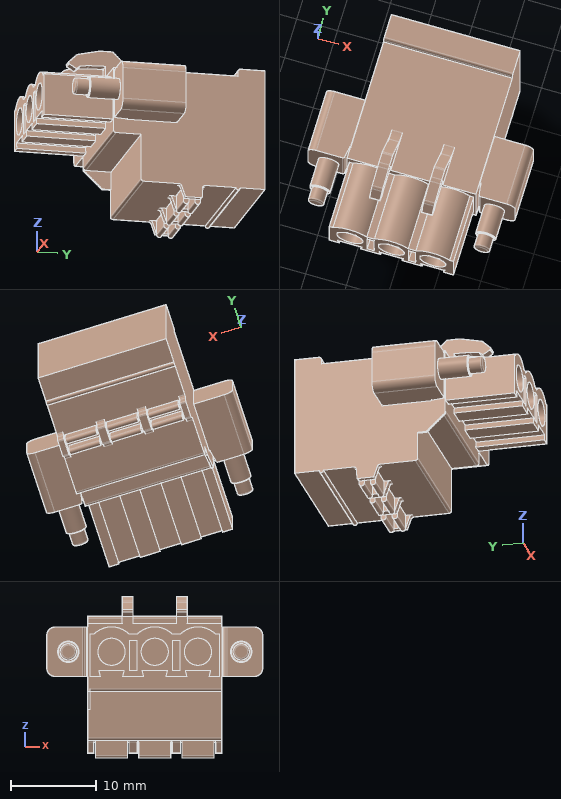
import cadquery as cq
import math

POLES = 3
PITCH = 5.08
TOTAL_DEPTH = 26.6
TOTAL_HEIGHT = 19.02
FLANGE_SPAN = 25.4

BODY_WIDTH = 15.8
BODY_FRONT = 8.33
BODY_BOTTOM = 2.1
BODY_TOP = 15.83
REAR_LIP_TOP = 16.7
REAR_LIP_FRONT = 23.35
LOWER_FRONT = 11.65
OVERHANG_BOTTOM = 7.85
EDGE_RADIUS = 0.3

GUSSET_THICKNESS = 0.27
GUSSET_TOE = 10.61
GUSSET_BOTTOM = 5.7

PLUG_BOTTOM = 9.58
PLUG_TOP = 15.43
BORE_RADIUS = 1.6
BORE_DEPTH = 1.0
BARREL_RADIUS = 2.93
BARREL_HALF_CHORD = 2.07
SLOT_WIDTH = 0.85
SLOT_BOTTOM = 10.3
SLOT_TOP = 13.83
KEYWAY_DEPTH = 0.72
KEYWAY_HALF_ROOT = 1.5
KEYWAY_HALF_MOUTH = 1.3

FLANGE_REAR = 15.95
FLANGE_RADIUS = 1.05
RELIEF_REAR = 9.95
RELIEF_REAR_WIDTH = 0.1
RELIEF_FRONT_WIDTH = 0.37
RELIEF_ROUND = 0.25
PIN_RADIUS = 1.25
PIN_SHOULDER = 4.68
PIN_TIP_RADIUS = 0.95
PIN_TIP = 3.0
PIN_SHOULDER_CHAMFER = 0.08
PIN_TIP_ROUND = 0.19

HOOK_WIDTH = 1.3
HOOK_OFFSET = 3.2
HOOK_SLOPE = math.radians(45)
HOOK_ROOT_Y = 13.17
HOOK_ROOT_RADIUS = 1.92
HOOK_PEAK_RADIUS = 0.27
HOOK_CREST_Y = 7.6
HOOK_CREST_RADIUS = 2.4
HOOK_BROW = (4.87, 18.4)
HOOK_BROW_RADIUS = 0.72
HOOK_UNDERSIDE = 17.18
HOOK_NOSE = [(3.85, 17.45), (3.9, 17.18), (4.81, 16.65), (5.27, 17.02), (6.38, 17.13)]

FOOT_BOTTOM = 0.55
FOOT_REAR = 19.13
FOOT_FRONT = 16.47
FOOT_TIP_REAR = 19.02
FOOT_TIP_FRONT = 17.0
FOOT_ROOT_RADIUS = 0.32
FOOT_TIP_RADIUS = 0.13
END_FOOT_WIDTH = 0.75
INNER_FOOT_WIDTH = 1.0
PRONG_WIDTH = 3.78
PRONG_THICKNESS = 0.65

RIB_RADIUS = 0.27
RIB_Y = 23.35

BODY_HALF = BODY_WIDTH / 2
PLUG_HALF = POLES * PITCH / 2
PLUG_MID = (PLUG_BOTTOM + PLUG_TOP) / 2
PLUG_SHOULDER = PLUG_TOP - BARREL_RADIUS + math.sqrt(BARREL_RADIUS**2 - BARREL_HALF_CHORD**2)
PIN_X = 2 * PITCH
POLE_XS = [(i - (POLES - 1) / 2) * PITCH for i in range(POLES)]
GAP_XS = [(i - (POLES - 2) / 2) * PITCH for i in range(POLES - 1)]


def block(x_min, x_max, y_min, y_max, z_min, z_max):
    """Axis-aligned box given by its limits."""
    size = (x_max - x_min, y_max - y_min, z_max - z_min)
    return cq.Workplane("XY").box(*size, centered=False).translate((x_min, y_min, z_min))


def rod(x, z, radius, y_min, y_max):
    """Cylinder along Y."""
    start = cq.Workplane("XZ", origin=(x, y_max, z))
    return start.circle(radius).extrude(y_max - y_min)


def side_slab(points, x_min, x_max):
    """Prism along X from a polygon of (y, z) points."""
    return cq.Workplane("YZ", origin=(x_min, 0, 0)).polyline(points).close().extrude(x_max - x_min)


def make_body():
    outline = [
        (TOTAL_DEPTH, BODY_BOTTOM),
        (TOTAL_DEPTH, REAR_LIP_TOP),
        (REAR_LIP_FRONT, REAR_LIP_TOP),
        (REAR_LIP_FRONT, BODY_TOP),
        (BODY_FRONT, BODY_TOP),
        (BODY_FRONT, OVERHANG_BOTTOM),
        (LOWER_FRONT, OVERHANG_BOTTOM),
        (LOWER_FRONT, BODY_BOTTOM),
    ]
    body = side_slab(outline, -BODY_HALF, BODY_HALF)
    rounded = [
        (REAR_LIP_FRONT, REAR_LIP_TOP),
        (BODY_FRONT, OVERHANG_BOTTOM),
        (LOWER_FRONT, BODY_BOTTOM),
    ]
    for y, z in rounded:
        body = body.edges(cq.selectors.NearestToPointSelector((0, y, z))).fillet(EDGE_RADIUS)
    gusset = [
        (BODY_FRONT, OVERHANG_BOTTOM + EDGE_RADIUS),
        (BODY_FRONT, OVERHANG_BOTTOM),
        (GUSSET_TOE, GUSSET_BOTTOM),
        (LOWER_FRONT, GUSSET_BOTTOM),
        (LOWER_FRONT, OVERHANG_BOTTOM + EDGE_RADIUS),
    ]
    return body.union(side_slab(gusset, -BODY_HALF, -BODY_HALF + GUSSET_THICKNESS))


def make_plug():
    plug = block(-PLUG_HALF, PLUG_HALF, 0, BODY_FRONT, PLUG_BOTTOM, PLUG_SHOULDER)
    for x in POLE_XS:
        barrel = (
            cq.Workplane("XZ", origin=(x, BODY_FRONT, 0))
            .moveTo(-BARREL_HALF_CHORD, PLUG_SHOULDER)
            .threePointArc((0, PLUG_TOP), (BARREL_HALF_CHORD, PLUG_SHOULDER))
            .close()
            .extrude(BODY_FRONT)
        )
        plug = plug.union(barrel)
    for x in POLE_XS:
        keyway = (
            cq.Workplane("XZ", origin=(x, BODY_FRONT, PLUG_BOTTOM))
            .polyline([
                (-KEYWAY_HALF_MOUTH, 0),
                (-KEYWAY_HALF_ROOT, KEYWAY_DEPTH),
                (KEYWAY_HALF_ROOT, KEYWAY_DEPTH),
                (KEYWAY_HALF_MOUTH, 0),
            ])
            .close()
            .extrude(BODY_FRONT)
        )
        plug = plug.cut(keyway).cut(rod(x, PLUG_MID, BORE_RADIUS, 0, BORE_DEPTH))
    for x in GAP_XS:
        half = SLOT_WIDTH / 2
        plug = plug.cut(block(x - half, x + half, 0, BODY_FRONT, SLOT_BOTTOM, SLOT_TOP))
    return plug


def make_flange():
    """Left-hand screw flange with its stepped pin."""
    flange = block(-FLANGE_SPAN / 2, -BODY_HALF, BODY_FRONT, FLANGE_REAR, PLUG_BOTTOM, PLUG_TOP)
    flange = flange.edges("|Y and <X").fillet(FLANGE_RADIUS)
    relief = (
        cq.Workplane("XY", origin=(-BODY_HALF, 0, PLUG_BOTTOM))
        .polyline([
            (0, BODY_FRONT),
            (0, RELIEF_REAR),
            (-RELIEF_REAR_WIDTH, RELIEF_REAR),
            (-RELIEF_FRONT_WIDTH, BODY_FRONT),
        ])
        .close()
        .extrude(PLUG_TOP - PLUG_BOTTOM)
    )
    flange = flange.cut(relief)
    relief_mouth = (-BODY_HALF - RELIEF_FRONT_WIDTH, BODY_FRONT, PLUG_MID)
    flange = flange.edges(cq.selectors.NearestToPointSelector(relief_mouth)).fillet(RELIEF_ROUND)
    shank = rod(-PIN_X, PLUG_MID, PIN_RADIUS, PIN_SHOULDER, BODY_FRONT)
    shank = shank.faces("<Y").edges().chamfer(PIN_SHOULDER_CHAMFER)
    tip = rod(-PIN_X, PLUG_MID, PIN_TIP_RADIUS, PIN_TIP, PIN_SHOULDER)
    tip = tip.faces("<Y").edges().fillet(PIN_TIP_ROUND)
    return flange.union(shank).union(tip)


def make_hook(x):
    """Latch hook rising from the top face at 45 degrees and reaching over the plug."""
    root_end_y = HOOK_ROOT_Y - HOOK_ROOT_RADIUS * math.sin(HOOK_SLOPE)
    root_end_z = BODY_TOP + HOOK_ROOT_RADIUS * (1 - math.cos(HOOK_SLOPE))
    root_middle = (
        HOOK_ROOT_Y - HOOK_ROOT_RADIUS * math.sin(HOOK_SLOPE / 2),
        BODY_TOP + HOOK_ROOT_RADIUS * (1 - math.cos(HOOK_SLOPE / 2)),
    )
    peak_y = root_end_y - (TOTAL_HEIGHT - root_end_z) / math.tan(HOOK_SLOPE)
    hook = (
        cq.Workplane("YZ", origin=(x - HOOK_WIDTH / 2, 0, 0))
        .moveTo(BODY_FRONT, BODY_TOP)
        .lineTo(HOOK_ROOT_Y, BODY_TOP)
        .threePointArc(root_middle, (root_end_y, root_end_z))
        .lineTo(peak_y, TOTAL_HEIGHT)
        .lineTo(HOOK_CREST_Y, TOTAL_HEIGHT)
        .lineTo(*HOOK_BROW)
    )
    for point in HOOK_NOSE:
        hook = hook.lineTo(*point)
    hook = hook.lineTo(BODY_FRONT, HOOK_UNDERSIDE).close().extrude(HOOK_WIDTH)
    rounds = [
        (peak_y, TOTAL_HEIGHT, HOOK_PEAK_RADIUS),
        (HOOK_CREST_Y, TOTAL_HEIGHT, HOOK_CREST_RADIUS),
        (*HOOK_BROW, HOOK_BROW_RADIUS),
    ]
    for y, z, radius in rounds:
        hook = hook.edges(cq.selectors.NearestToPointSelector((x, y, z))).fillet(radius)
    return hook


def make_foot(x_min, x_max):
    """Tapered foot with flared root and softened tip."""
    points = [
        (LOWER_FRONT + EDGE_RADIUS, BODY_BOTTOM + FOOT_ROOT_RADIUS),
        (LOWER_FRONT + EDGE_RADIUS, BODY_BOTTOM),
        (FOOT_FRONT, BODY_BOTTOM),
        (FOOT_TIP_FRONT, FOOT_BOTTOM),
        (FOOT_TIP_REAR, FOOT_BOTTOM),
        (FOOT_REAR, BODY_BOTTOM),
        (RIB_Y, BODY_BOTTOM),
        (RIB_Y, BODY_BOTTOM + FOOT_ROOT_RADIUS),
    ]
    foot = side_slab(points, x_min, x_max)
    middle = (x_min + x_max) / 2
    rounds = [
        (FOOT_FRONT, BODY_BOTTOM, FOOT_ROOT_RADIUS),
        (FOOT_REAR, BODY_BOTTOM, FOOT_ROOT_RADIUS),
        (FOOT_TIP_FRONT, FOOT_BOTTOM, FOOT_TIP_RADIUS),
        (FOOT_TIP_REAR, FOOT_BOTTOM, FOOT_TIP_RADIUS),
    ]
    for y, z, radius in rounds:
        foot = foot.edges(cq.selectors.NearestToPointSelector((middle, y, z))).fillet(radius)
    return foot


def make_prong(x, y_min):
    """Flat plate with a fully rounded lower edge."""
    radius = PRONG_THICKNESS / 2
    return (
        cq.Workplane("YZ", origin=(x - PRONG_WIDTH / 2, y_min, 0))
        .moveTo(0, radius)
        .threePointArc((radius, 0), (PRONG_THICKNESS, radius))
        .lineTo(PRONG_THICKNESS, BODY_BOTTOM)
        .lineTo(0, BODY_BOTTOM)
        .close()
        .extrude(PRONG_WIDTH)
    )


result = make_body().union(make_plug())

left_flange = make_flange()
result = result.union(left_flange).union(left_flange.mirror("YZ"))

for hook_x in (-HOOK_OFFSET, HOOK_OFFSET):
    result = result.union(make_hook(hook_x))

foot_limits = [(x - INNER_FOOT_WIDTH / 2, x + INNER_FOOT_WIDTH / 2) for x in GAP_XS]
foot_limits += [(-BODY_HALF, -BODY_HALF + END_FOOT_WIDTH), (BODY_HALF - END_FOOT_WIDTH, BODY_HALF)]
for foot_min, foot_max in foot_limits:
    result = result.union(make_foot(foot_min, foot_max))

for pole_x in POLE_XS:
    for prong_y in (FOOT_TIP_FRONT, FOOT_TIP_REAR - PRONG_THICKNESS):
        result = result.union(make_prong(pole_x, prong_y))

rib = cq.Workplane("YZ", origin=(-BODY_HALF, RIB_Y, BODY_BOTTOM)).circle(RIB_RADIUS).extrude(BODY_WIDTH)
result = result.union(rib)